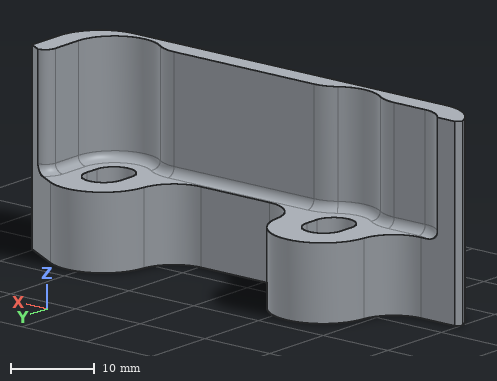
import cadquery as cq
import math

length = 60.4
height = 25.4
depth = 15.55
floor_height = 10.05

corner_radius = 6.35
strip_depth = 4.7
tip_y = 4.0
tip_bevel_length = 0.6
lug_radius = 6.7
lug_blend_radius = 5.0
lug_centres_x = (17.6, 51.6)
lug_y = depth - lug_radius
bevel_angle = math.radians(30)

slot_width = 5.3
slot_length = 7.2
slot_y = 7.75

wall_thickness = 3.1
relief_radius = 5.6
relief_y = 6.7
relief_blend_radius = 5.0
left_runout_radius = 4.05
left_runout_x = 6.6
right_runout_radius = 1.5
right_runout_y = 11.0
overshoot = 6.05
root_fillet = 1.15


def point_on_circle(centre, radius, angle):
    return (centre[0] + radius * math.cos(angle), centre[1] + radius * math.sin(angle))


def arc_to(sketch, centre, radius, start, end):
    """Continue the sketch with an arc between two angles in radians."""
    middle = point_on_circle(centre, radius, (start + end) / 2)
    return sketch.threePointArc(middle, point_on_circle(centre, radius, end))


lug_blend_y = strip_depth + lug_blend_radius
lug_blend_dx = math.sqrt((lug_radius + lug_blend_radius) ** 2 - (lug_blend_y - lug_y) ** 2)
lug_angle = math.atan2(lug_blend_y - lug_y, lug_blend_dx)

relief_blend_y = wall_thickness - relief_blend_radius
relief_dy = relief_y - relief_blend_y
relief_blend_dx = math.sqrt((relief_radius + relief_blend_radius) ** 2 - relief_dy ** 2)
relief_angle = math.atan2(relief_dy, relief_blend_dx)


def make_outline():
    """Full plan shape, drawn counterclockwise from the bottom left."""
    left_x = math.sqrt(corner_radius ** 2 - (corner_radius - tip_y) ** 2)
    left_corner = (left_x, corner_radius)
    right_corner = (length - corner_radius, corner_radius)
    left_lug, right_lug = [(x, lug_y) for x in lug_centres_x]
    bevel_normal = math.pi / 2 - bevel_angle
    bevel_start = point_on_circle(right_lug, lug_radius, bevel_normal)
    bevel_end_y = bevel_start[1] - (length - bevel_start[0]) * math.tan(bevel_angle)

    s = cq.Workplane("XY").moveTo(left_x, 0).lineTo(length - corner_radius, 0)
    s = arc_to(s, right_corner, corner_radius, -math.pi / 2, 0)
    s = s.lineTo(length, bevel_end_y).lineTo(*bevel_start)
    s = arc_to(s, right_lug, lug_radius, bevel_normal, math.pi - lug_angle)
    right_blend = (right_lug[0] - lug_blend_dx, lug_blend_y)
    s = arc_to(s, right_blend, lug_blend_radius, -lug_angle, -math.pi / 2)
    middle_blend = (left_lug[0] + lug_blend_dx, lug_blend_y)
    s = s.lineTo(middle_blend[0], strip_depth)
    s = arc_to(s, middle_blend, lug_blend_radius, -math.pi / 2, -math.pi + lug_angle)
    s = arc_to(s, left_lug, lug_radius, lug_angle, math.pi - lug_angle)
    left_blend = (left_lug[0] - lug_blend_dx, lug_blend_y)
    s = arc_to(s, left_blend, lug_blend_radius, -lug_angle, -math.pi / 2)
    s = s.lineTo(tip_bevel_length, strip_depth).lineTo(0, tip_y)
    tip_angle = math.atan2(tip_y - corner_radius, -left_x)
    s = arc_to(s, left_corner, corner_radius, tip_angle, -math.pi / 2)
    return s.close()


def make_space_behind_wall():
    """Region above the lug floor, bounded by the inner face of the wall."""
    s = cq.Workplane("XY", origin=(0, 0, floor_height))
    left_runout = (left_runout_x, wall_thickness + left_runout_radius)
    s = s.moveTo(left_runout_x - left_runout_radius, left_runout[1])
    s = arc_to(s, left_runout, left_runout_radius, math.pi, 1.5 * math.pi)

    left_relief, right_relief = [(x, relief_y) for x in lug_centres_x]
    relief_start = math.pi + relief_angle
    relief_end = 2 * math.pi - relief_angle
    for relief, end in ((left_relief, relief_end), (right_relief, 2 * math.pi)):
        blend = (relief[0] - relief_blend_dx, relief_blend_y)
        s = s.lineTo(blend[0], wall_thickness)
        s = arc_to(s, blend, relief_blend_radius, math.pi / 2, relief_angle)
        s = arc_to(s, relief, relief_radius, relief_start, end)
        if relief == left_relief:
            blend = (relief[0] + relief_blend_dx, relief_blend_y)
            s = arc_to(s, blend, relief_blend_radius, math.pi - relief_angle, math.pi / 2)

    end_wall_x = lug_centres_x[1] + relief_radius
    right_runout = (end_wall_x + right_runout_radius, right_runout_y)
    s = s.lineTo(end_wall_x, right_runout_y)
    s = arc_to(s, right_runout, right_runout_radius, math.pi, math.pi / 2)
    s = s.lineTo(right_runout[0], depth + overshoot)
    s = s.lineTo(left_runout_x - left_runout_radius, depth + overshoot).close()
    return s.extrude(height - floor_height)


space = make_space_behind_wall()
space = space.faces("<Z").edges().fillet(root_fillet)
slots = (
    cq.Workplane("XY")
    .pushPoints([(x, slot_y) for x in lug_centres_x])
    .slot2D(slot_length, slot_width, 90)
    .extrude(height)
)
result = make_outline().extrude(height).cut(space).cut(slots)